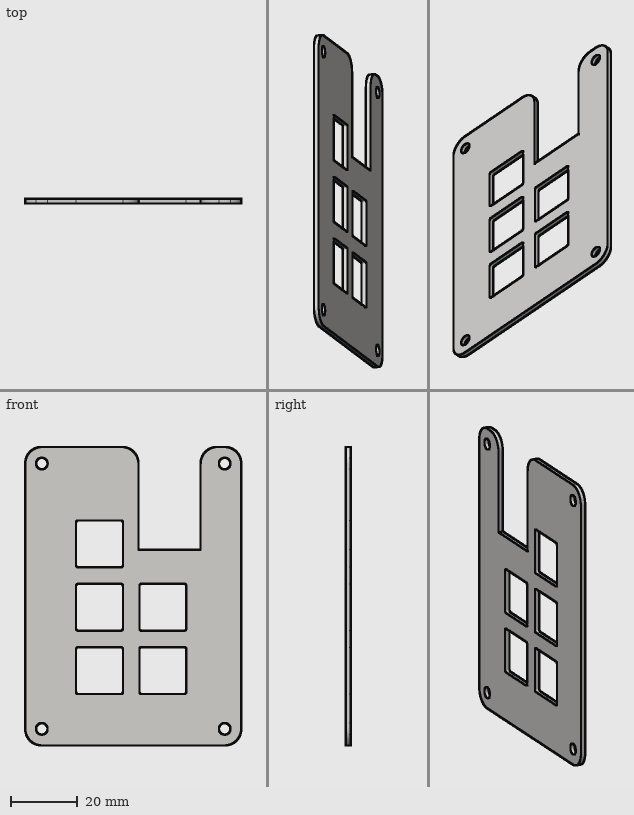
import cadquery as cq

plate_width = 65.0
plate_height = 89.8
plate_thickness = 1.5
corner_radius = 5.0

mount_hole_diameter = 3.4
mount_hole_inset = corner_radius

notch_width = 18.6
notch_depth = 30.9
right_prong_width = 12.3
notch_right = plate_width / 2 - right_prong_width
notch_left = notch_right - notch_width
notch_floor = plate_height / 2 - notch_depth

key_size = 14.0
key_corner_radius = 0.5
key_pitch = 19.0
first_key_x = -10.15
first_key_z = -22.4
keys_per_column = (3, 2)


def make_plate():
    """Notched plate with rounded outer corners and rounded prong tips."""
    left = -plate_width / 2
    right = plate_width / 2
    bottom = -plate_height / 2
    top = plate_height / 2
    outline = [
        (left, bottom),
        (right, bottom),
        (right, top),
        (notch_right, top),
        (notch_right, notch_floor),
        (notch_left, notch_floor),
        (notch_left, top),
        (left, top),
    ]
    plate = (
        cq.Workplane("XZ")
        .polyline(outline)
        .close()
        .extrude(plate_thickness / 2, both=True)
    )
    return plate.faces("<Z or >Z").edges("|Y").fillet(corner_radius)


def make_mount_holes():
    """Cutters for the four mounting holes."""
    hole_spacing_x = plate_width - 2 * mount_hole_inset
    hole_spacing_z = plate_height - 2 * mount_hole_inset
    return (
        cq.Workplane("XZ")
        .rect(hole_spacing_x, hole_spacing_z, forConstruction=True)
        .vertices()
        .circle(mount_hole_diameter / 2)
        .extrude(plate_thickness, both=True)
    )


def make_key_openings():
    """Cutters for the key openings, columns filled from the bottom row up."""
    centres = [
        (first_key_x + column * key_pitch, first_key_z + row * key_pitch)
        for column, key_count in enumerate(keys_per_column)
        for row in range(key_count)
    ]
    return (
        cq.Workplane("XZ")
        .pushPoints(centres)
        .rect(key_size, key_size)
        .extrude(plate_thickness, both=True)
        .edges("|Y")
        .fillet(key_corner_radius)
    )


result = make_plate().cut(make_mount_holes()).cut(make_key_openings())